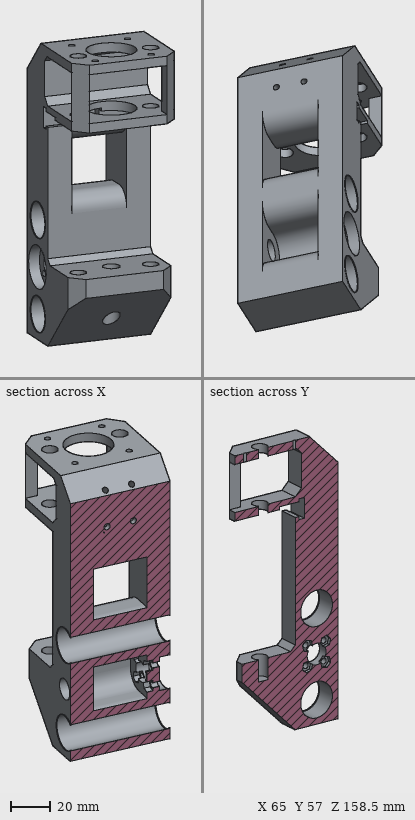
import cadquery as cq
import math

width = 57.0
height = 158.5
arm_length = 65.0

column_depth = 27.0
top_chamfer = 18.0
foot_length = 60.5
foot_top = 43.5
foot_inner_chamfer = 3.0
corner_chamfer = 7.0

arm_bottom = 122.5
plate_thickness = 5.0
box_floor = arm_bottom + plate_thickness
box_ceiling = height - plate_thickness
box_back = 23.0
box_ceiling_chamfer = 3.0
box_floor_chamfer = column_depth - box_back
post_face = arm_length - corner_chamfer

motor_x = 43.0
motor_pilot_diameter = 26.0
motor_screw_pitch = 31.0
screw_diameter = 3.2
shaft_diameter = 9.0
rod_x = 47.0
rod_spacing = 40.0
rod_diameter = 8.4
rod_socket_depth = 12.0

bore_x = column_depth / 2
bore_diameter = 19.6
bore_lip_diameter = 19.2
bore_lip_length = 0.5
nut_z = 38.5
bore_offset = 25.0
bore_heights = (nut_z - bore_offset, nut_z + bore_offset)
nut_bore_diameter = 11.5
nut_flange_diameter = 23.0
nut_flange_depth = 6.0
nut_screw_circle = 16.0
hex_pocket_flats = 5.5
hex_pocket_depth = 3.5

window_width = 30.3
mouth_radius = 9.6
upper_window_bottom = 78.5
upper_window_height = 28.0
upper_window_top = upper_window_bottom + upper_window_height
lower_window_height = 24.0
lower_window_bottom = nut_z - lower_window_height / 2
lower_window_top = nut_z + lower_window_height / 2
lower_window_end = 25.5

back_screw_spacing = 15.0
back_screw_z = 129.5
back_screw_depth = 10.0

slot_head_back = 21.4
slot_head_front = 24.4
slot_head_bottom = 114.6
slot_head_top = 125.7
slot_neck_bottom = 116.2
groove_top = 124.1
groove_end = 36.7
slot_end_y = 0.0


def block(x_min, x_max, z_min, z_max, y_min, y_max):
    """Axis-aligned block given by its limits."""
    size = (x_max - x_min, y_max - y_min, z_max - z_min)
    return cq.Workplane("XY").box(*size, centered=False).translate((x_min, y_min, z_min))


def y_cylinder(diameter, x, z, y_min, y_max):
    """Cylinder along Y between two Y positions."""
    start = cq.Vector(x, y_min, z)
    solid = cq.Solid.makeCylinder(diameter / 2, y_max - y_min, start, cq.Vector(0, 1, 0))
    return cq.Workplane(obj=solid)


def z_cylinder(diameter, x, y, z_min, z_max):
    """Cylinder along Z between two heights."""
    start = cq.Vector(x, y, z_min)
    solid = cq.Solid.makeCylinder(diameter / 2, z_max - z_min, start)
    return cq.Workplane(obj=solid)


def extrude_profile(profile, depth):
    """Extrude an XZ profile symmetrically about the mid plane."""
    return profile.close().extrude(depth / 2, both=True)


def make_body():
    """C-shaped side outline with the front corners of the arm and foot chamfered."""
    foot_tip = foot_length - column_depth
    outline = (
        cq.Workplane("XZ")
        .polyline([
            (0, 0),
            (column_depth, 0),
            (foot_length, foot_tip),
            (foot_length, foot_top),
            (column_depth + foot_inner_chamfer, foot_top),
            (column_depth, foot_top + foot_inner_chamfer),
            (column_depth, arm_bottom),
            (arm_length, arm_bottom),
            (arm_length, height),
            (top_chamfer, height),
            (0, height - top_chamfer),
        ])
    )
    body = extrude_profile(outline, width)
    for front, z_min, z_max in ((foot_length, 0, foot_top), (arm_length, arm_bottom, height)):
        for side in (-1, 1):
            edge_y = side * width / 2
            corner = (
                cq.Workplane("XY")
                .workplane(offset=z_min)
                .polyline([
                    (front - corner_chamfer, edge_y),
                    (front, edge_y - side * corner_chamfer),
                    (front, edge_y),
                ])
                .close()
                .extrude(z_max - z_min)
            )
            body = body.cut(corner)
    return body


def cut_motor_box(body):
    """Open the box sideways and to the front, leaving a three-sided post at each front corner."""
    outline = (
        cq.Workplane("XZ")
        .polyline([
            (column_depth, box_floor),
            (post_face, box_floor),
            (post_face, box_ceiling),
            (box_back + box_ceiling_chamfer, box_ceiling),
            (box_back, box_ceiling - box_ceiling_chamfer),
            (box_back, box_floor + box_floor_chamfer),
        ])
    )
    body = body.cut(extrude_profile(outline, width))
    half_opening = width / 2 - corner_chamfer
    return body.cut(block(post_face, arm_length, box_floor, box_ceiling, -half_opening, half_opening))


def cut_vertical_holes(body):
    """Motor pilot and screw holes, shaft hole and guide rod holes that end as sockets in the foot."""
    screw_bottom = box_floor + box_floor_chamfer
    body = body.cut(z_cylinder(motor_pilot_diameter, motor_x, 0, arm_bottom, height))
    body = body.cut(z_cylinder(shaft_diameter, motor_x, 0, 0, foot_top))
    for side_y in (-1, 1):
        rod_y = side_y * rod_spacing / 2
        body = body.cut(z_cylinder(rod_diameter, rod_x, rod_y, foot_top - rod_socket_depth, height))
        for side_x in (-1, 1):
            screw_x = motor_x + side_x * motor_screw_pitch / 2
            screw_y = side_y * motor_screw_pitch / 2
            body = body.cut(z_cylinder(screw_diameter, screw_x, screw_y, screw_bottom, height))
    return body


def cut_cross_bores(body):
    """Two bores through the column, each with a narrow lip at both mouths."""
    side = width / 2
    inner_side = side - bore_lip_length
    for bore_z in bore_heights:
        body = body.cut(y_cylinder(bore_lip_diameter, bore_x, bore_z, -side, side))
        body = body.cut(y_cylinder(bore_diameter, bore_x, bore_z, -inner_side, inner_side))
    return body


def hex_pocket(x, z, y_min, y_max):
    """Hexagonal pocket along Y with one flat facing the nut axis."""
    corner_to_flat = 30
    across_corners = hex_pocket_flats / math.cos(math.radians(corner_to_flat))
    outward = math.degrees(math.atan2(z - nut_z, x - bore_x))
    pocket = cq.Workplane("XZ").polygon(6, across_corners).extrude(y_min - y_max)
    turned_pocket = pocket.rotate((0, 0, 0), (0, 1, 0), corner_to_flat - outward)
    return turned_pocket.translate((x, y_min, z))


def cut_nut_seat(body):
    """Flanged nut seat with four screw holes, each ending in a hexagonal pocket at the window."""
    side = width / 2
    wall_inside = -window_width / 2
    body = body.cut(y_cylinder(nut_bore_diameter, bore_x, nut_z, -side, side))
    body = body.cut(y_cylinder(nut_flange_diameter, bore_x, nut_z, -side, nut_flange_depth - side))
    offset = nut_screw_circle / 2 * math.cos(math.radians(45))
    for side_x in (-1, 1):
        for side_z in (-1, 1):
            screw_x = bore_x + side_x * offset
            screw_z = nut_z + side_z * offset
            body = body.cut(y_cylinder(screw_diameter, screw_x, screw_z, -side, wall_inside))
            body = body.cut(hex_pocket(screw_x, screw_z, wall_inside - hex_pocket_depth, wall_inside))
    return body


def cut_upper_window(body):
    """Window through the column, its top and bottom rounded outward at both mouths."""
    r = mouth_radius
    outline = (
        cq.Workplane("XZ")
        .moveTo(0, upper_window_bottom - r)
        .radiusArc((r, upper_window_bottom), r)
        .lineTo(column_depth - r, upper_window_bottom)
        .radiusArc((column_depth, upper_window_bottom - r), r)
        .lineTo(column_depth, upper_window_top + r)
        .radiusArc((column_depth - r, upper_window_top), r)
        .lineTo(r, upper_window_top)
        .radiusArc((0, upper_window_top + r), r)
    )
    return body.cut(extrude_profile(outline, window_width))


def cut_lower_window(body):
    """Blind window, rounded outward at its mouth and rounded inward at its end."""
    r = mouth_radius
    outline = (
        cq.Workplane("XZ")
        .moveTo(0, lower_window_bottom - r)
        .radiusArc((r, lower_window_bottom), r)
        .lineTo(lower_window_end - r, lower_window_bottom)
        .radiusArc((lower_window_end, lower_window_bottom + r), -r)
        .lineTo(lower_window_end, lower_window_top - r)
        .radiusArc((lower_window_end - r, lower_window_top), -r)
        .lineTo(r, lower_window_top)
        .radiusArc((0, lower_window_top + r), r)
    )
    return body.cut(extrude_profile(outline, window_width))


def cut_back_screws(body):
    """Blind screw holes square to the back face and square to the top chamfer."""
    chamfer_middle = (top_chamfer / 2, height - top_chamfer / 2)
    into_chamfer = cq.Vector(1, 0, -1)
    into_back = cq.Vector(1, 0, 0)
    for side in (-1, 1):
        y = side * back_screw_spacing / 2
        for x, z, direction in ((0, back_screw_z, into_back), (*chamfer_middle, into_chamfer)):
            hole = cq.Solid.makeCylinder(screw_diameter / 2, back_screw_depth, cq.Vector(x, y, z), direction)
            body = body.cut(cq.Workplane(obj=hole))
    return body


def cut_side_slot(body):
    """T-shaped slot opening to the side and front of the column, continued as a groove under the arm."""
    side = -width / 2
    head = block(slot_head_back, slot_head_front, slot_head_bottom, slot_head_top, side, slot_end_y)
    neck = block(slot_head_front, column_depth, slot_neck_bottom, groove_top, side, slot_end_y)
    groove = block(column_depth, groove_end, arm_bottom, groove_top, side, slot_end_y)
    return body.cut(head).cut(neck).cut(groove)


result = make_body()
result = cut_motor_box(result)
result = cut_vertical_holes(result)
result = cut_cross_bores(result)
result = cut_nut_seat(result)
result = cut_upper_window(result)
result = cut_lower_window(result)
result = cut_back_screws(result)
result = cut_side_slot(result)